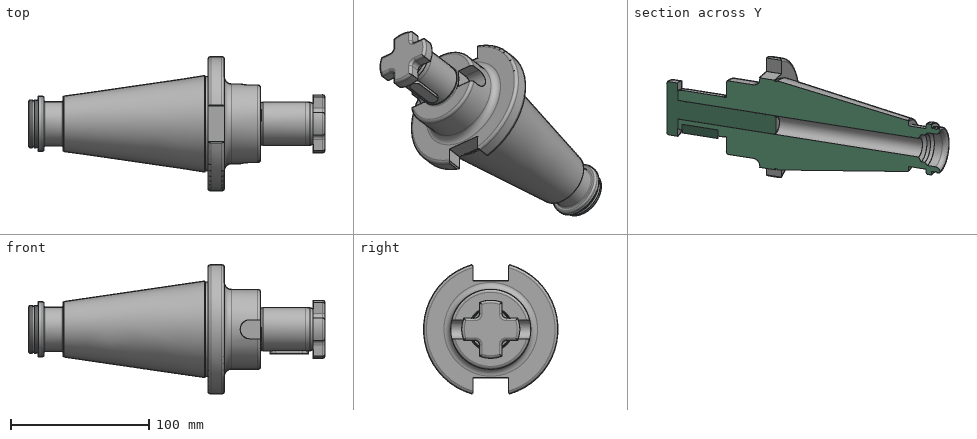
import cadquery as cq
import math


lip_radius = 17.5
lip_chamfer = 1.0
lip_groove_start = 2.5
lip_groove_end = 4.5
lip_groove_depth = 0.6
lip_shoulder_start = 5.5
lip_shoulder_radius = 17.2
tail_collar_start = 6.9
tail_collar_end = 11.4
tail_collar_radius = 20.0
tail_collar_front_chamfer = 0.5
tail_collar_back_fillet = 1.5
neck_radius = 16.1
neck_end = 25.0
neck_fillet = 0.6

taper_rate = 7 / 48
taper_end = 127.5
taper_end_radius = 35.0
taper_start_chamfer = 0.6
relief_radius = 34.4
relief_bevel = 0.6

flange_start = 130.0
flange_end = 142.0
flange_radius = 48.8
flange_edge_fillet = 2.1
drive_slot_width = 25.5
drive_slot_floor = 35.2
drive_slot_corner_chamfer = 1.3

collar_radius = 29.0
collar_end = 168.2
collar_root_fillet = 5.0
collar_edge_fillet = 2.1
tenon_slot_width = 13.7
tenon_slot_start = 153.4
tenon_slot_floor = 16.0

arbor_radius = 16.0
arbor_relief_radius = 15.5
arbor_relief_end = 170.0
arbor_root_fillet = 0.6
arbor_lead_start = 200.6
arbor_lead_end = 204.0
arbor_lead_radius = 15.7
arbor_end = 206.2
arbor_end_radius = 14.8

mouth_fillet = 3.9
counterbore_radius = 12.7
counterbore_end = 10.0
thread_chamfer = 2.1
bore_radius = counterbore_radius - thread_chamfer
bore_end = 15.0
drill_point_angle = 118.0
screw_hole_radius = 7.0

screw_tip = 128.9
screw_tip_chamfer = 1.0
head_end = 214.8
head_radius = 21.0
head_arm_width = 16.3
head_inner_fillet = 3.2
head_edge_round = 2.0

key_start = 174.8
key_end = 202.8
key_width = 8.4
key_top = 17.8
key_floor = 11.2


def revolve_about_x(profile):
    """Turn a closed outline of X and radius about the X axis."""
    return profile.close().revolve(360, (0, 0, 0), (1, 0, 0))


def round_corner(outline, center, start, end):
    """Continue an X-radius outline to `start`, then round a quarter circle about `center` to `end`."""
    diagonal = math.sqrt(0.5)
    middle = tuple(c + diagonal * (s - c + e - c) for c, s, e in zip(center, start, end))
    return outline.lineTo(*start).threePointArc(middle, end)


def add_tail(outline):
    """Grooved lip, round-edged collar and neck, up to the small end of the taper."""
    groove_middle = (lip_groove_start + lip_groove_end) / 2
    outline = (
        outline.lineTo(0, lip_radius - lip_chamfer)
        .lineTo(lip_chamfer, lip_radius)
        .lineTo(lip_groove_start, lip_radius)
        .threePointArc((groove_middle, lip_radius - lip_groove_depth), (lip_groove_end, lip_radius))
        .lineTo(lip_shoulder_start, lip_radius)
        .lineTo(lip_shoulder_start, lip_shoulder_radius)
        .lineTo(tail_collar_start, lip_shoulder_radius)
        .lineTo(tail_collar_start, tail_collar_radius - tail_collar_front_chamfer)
        .lineTo(tail_collar_start + tail_collar_front_chamfer, tail_collar_radius)
    )
    edge_x = tail_collar_end - tail_collar_back_fillet
    edge_radius = tail_collar_radius - tail_collar_back_fillet
    outline = round_corner(
        outline, (edge_x, edge_radius), (edge_x, tail_collar_radius), (tail_collar_end, edge_radius)
    )
    root_radius = neck_radius + neck_fillet
    root_x = tail_collar_end + neck_fillet
    outline = round_corner(
        outline, (root_x, root_radius), (tail_collar_end, root_radius), (root_x, neck_radius)
    )
    root_x = neck_end - neck_fillet
    return round_corner(outline, (root_x, root_radius), (root_x, neck_radius), (neck_end, root_radius))


def add_taper(outline):
    """Steep taper and the relief between it and the flange."""
    start_radius = taper_end_radius - taper_rate * (taper_end - neck_end)
    return (
        outline.lineTo(neck_end, start_radius - taper_start_chamfer)
        .lineTo(neck_end + taper_start_chamfer, start_radius + taper_rate * taper_start_chamfer)
        .lineTo(taper_end, taper_end_radius)
        .lineTo(taper_end + relief_bevel, relief_radius)
        .lineTo(flange_start, relief_radius)
    )


def add_flange_and_collar(outline):
    """Round-edged flange and the collar that leaves it with a large root fillet."""
    edge_radius = flange_radius - flange_edge_fillet
    edge_x = flange_start + flange_edge_fillet
    outline = round_corner(
        outline, (edge_x, edge_radius), (flange_start, edge_radius), (edge_x, flange_radius)
    )
    edge_x = flange_end - flange_edge_fillet
    outline = round_corner(
        outline, (edge_x, edge_radius), (edge_x, flange_radius), (flange_end, edge_radius)
    )
    root_x = flange_end + collar_root_fillet
    root_radius = collar_radius + collar_root_fillet
    outline = round_corner(
        outline, (root_x, root_radius), (flange_end, root_radius), (root_x, collar_radius)
    )
    edge_x = collar_end - collar_edge_fillet
    edge_radius = collar_radius - collar_edge_fillet
    return round_corner(
        outline, (edge_x, edge_radius), (edge_x, collar_radius), (collar_end, edge_radius)
    )


def add_arbor(outline):
    """Relief groove at the collar, straight arbor and its two-step lead-in."""
    root_x = collar_end + arbor_root_fillet
    root_radius = arbor_relief_radius + arbor_root_fillet
    outline = round_corner(
        outline, (root_x, root_radius), (collar_end, root_radius), (root_x, arbor_relief_radius)
    )
    return (
        outline.lineTo(arbor_relief_end, arbor_relief_radius)
        .lineTo(arbor_relief_end, arbor_radius)
        .lineTo(arbor_lead_start, arbor_radius)
        .lineTo(arbor_lead_end, arbor_lead_radius)
        .lineTo(arbor_end, arbor_end_radius)
        .lineTo(arbor_end, 0)
    )


def make_turned_blank():
    outline = add_tail(cq.Workplane("XZ"))
    outline = add_taper(outline)
    outline = add_flange_and_collar(outline)
    outline = add_arbor(outline)
    return revolve_about_x(outline)


def make_axial_bore():
    """Rounded mouth, counterbore, bore with a drill-point cone, and the screw hole out to the arbor end."""
    mouth_radius = counterbore_radius + mouth_fillet
    cone_length = (bore_radius - screw_hole_radius) / math.tan(math.radians(drill_point_angle / 2))
    outline = round_corner(
        cq.Workplane("XZ"),
        (mouth_fillet, mouth_radius),
        (0, mouth_radius),
        (mouth_fillet, counterbore_radius),
    )
    outline = (
        outline.lineTo(counterbore_end, counterbore_radius)
        .lineTo(counterbore_end + thread_chamfer, bore_radius)
        .lineTo(bore_end, bore_radius)
        .lineTo(bore_end + cone_length, screw_hole_radius)
        .lineTo(arbor_end, screw_hole_radius)
        .lineTo(arbor_end, 0)
    )
    return revolve_about_x(outline)


def make_drive_slots():
    """Two square slots across the flange rim, at +Z and -Z, with bevelled mouths."""
    half_width = drive_slot_width / 2
    rim_height = math.sqrt(flange_radius**2 - half_width**2)
    bevel_start = rim_height - drive_slot_corner_chamfer
    bevel_run = flange_radius - bevel_start
    upper_slot = (
        cq.Workplane("YZ")
        .workplane(offset=flange_start)
        .moveTo(-half_width, drive_slot_floor)
        .lineTo(half_width, drive_slot_floor)
        .lineTo(half_width, bevel_start)
        .lineTo(half_width + bevel_run, flange_radius)
        .lineTo(-half_width - bevel_run, flange_radius)
        .lineTo(-half_width, bevel_start)
        .close()
        .extrude(flange_end - flange_start)
    )
    return upper_slot.union(upper_slot.mirror("XY"))


def make_tenon_slots():
    """Two round-ended slots in the collar, at +Y and -Y, open at the collar face."""
    end_center = tenon_slot_start + tenon_slot_width / 2
    straight_length = collar_end - end_center
    slot_depth = collar_radius - tenon_slot_floor
    floor_plane = cq.Workplane("XZ").workplane(offset=tenon_slot_floor).center(end_center, 0)
    round_end = floor_plane.circle(tenon_slot_width / 2).extrude(slot_depth)
    straight = (
        floor_plane.center(straight_length / 2, 0)
        .rect(straight_length, tenon_slot_width)
        .extrude(slot_depth)
    )
    near_slot = round_end.union(straight)
    return near_slot.union(near_slot.mirror("XZ"))


def make_key():
    """Round-ended feather key lying in the -Z side of the arbor."""
    key_length = key_end - key_start
    return (
        cq.Workplane("XY")
        .workplane(offset=-key_top)
        .center((key_start + key_end) / 2, 0)
        .slot2D(key_length, key_width)
        .extrude(key_top - key_floor)
    )


def make_housing():
    return (
        make_turned_blank()
        .cut(make_axial_bore())
        .cut(make_drive_slots())
        .cut(make_tenon_slots())
        .cut(make_key())
    )


def make_screw_head():
    """Cross-shaped head with filleted inner corners, round arm ends and a rounded outer face edge."""
    head_length = head_end - arbor_end
    arm_span = 2 * head_radius
    base = cq.Workplane("YZ").workplane(offset=arbor_end)
    arm_along_y = base.rect(arm_span, head_arm_width).extrude(head_length)
    arm_along_z = base.rect(head_arm_width, arm_span).extrude(head_length)
    core_half = head_arm_width / 2 + head_inner_fillet
    inner_corners = cq.selectors.BoxSelector(
        (arbor_end, -core_half, -core_half), (head_end, core_half, core_half)
    )
    cross = arm_along_y.union(arm_along_z).edges("|X").edges(inner_corners).fillet(head_inner_fillet)
    disc = base.circle(head_radius).extrude(head_length)
    return cross.intersect(disc).faces(">X").edges().fillet(head_edge_round)


def make_screw():
    shank = (
        cq.Workplane("YZ")
        .workplane(offset=screw_tip)
        .circle(screw_hole_radius)
        .extrude(arbor_end - screw_tip)
        .faces("<X")
        .chamfer(screw_tip_chamfer)
    )
    return make_screw_head().union(shank)


housing = make_housing()
screw = make_screw()
key = make_key()
result = cq.Compound.makeCompound([housing.val(), screw.val(), key.val()])